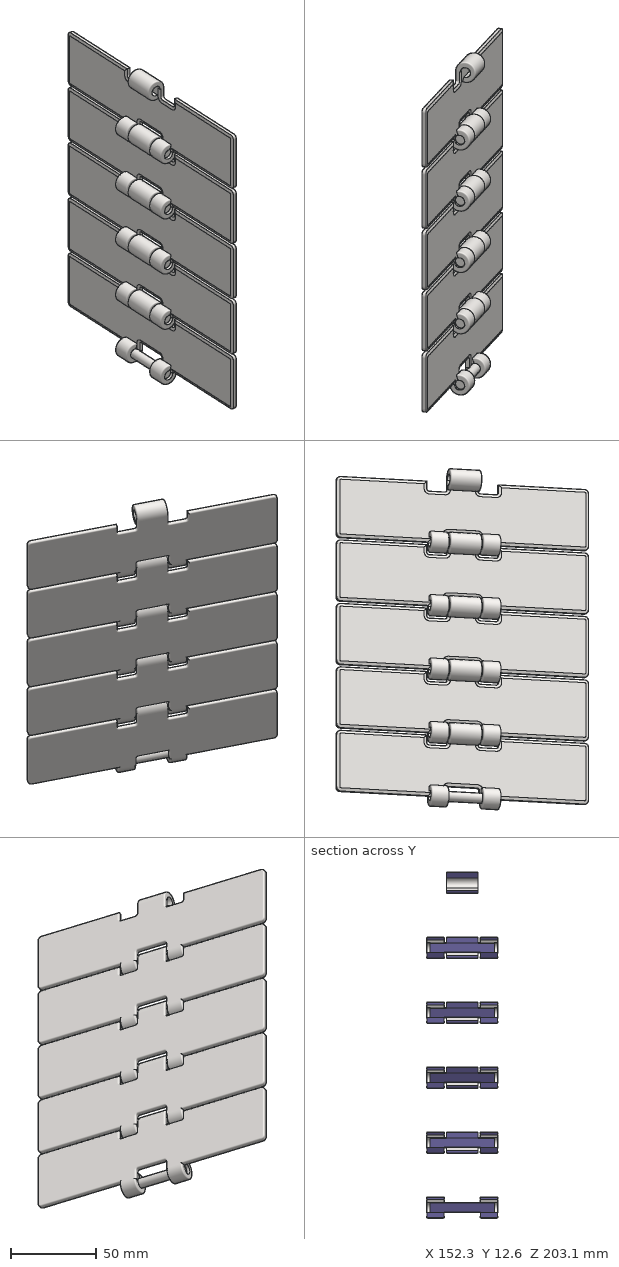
import cadquery as cq
import math

plate_width = 152.3
chain_height = 203.1
link_count = 5
knuckle_radius = 6.3
pin_diameter = 6.0
curl_sweep = 288.0

middle_knuckle_width = 18.7
slot_width = 20.3
outer_knuckle_gap = 21.0
outer_knuckle_span = 41.8
notch_span = 43.3
pin_length = 38.0

top_edge_drop = 0.91
bottom_edge_rise = 0.67
cutout_depth = 7.0

corner_radius = 2.5
cutout_corner_radius = 1.5
front_bevel_width = 1.8
front_bevel_depth = 0.6
back_edge_radius = 0.8

pitch = (chain_height - 2 * knuckle_radius) / link_count
bore_radius = pin_diameter / 2
sheet_thickness = knuckle_radius - bore_radius
outer_knuckle_width = (outer_knuckle_span - outer_knuckle_gap) / 2
outer_knuckle_offset = (outer_knuckle_span + outer_knuckle_gap) / 4
sheet_back = knuckle_radius
sheet_front = bore_radius
tab_overrun = 2 * front_bevel_width

match_distance = 0.02


def round_corners(sheet, corners, radius):
    """Round the edges along Y that stand at the given (X, Z) corners and at their mirror images."""

    def at_corner(edge):
        spot = edge.Center()
        return any(math.hypot(abs(spot.x) - x, spot.z - z) < match_distance for x, z in corners)

    return sheet.edges("|Y").filter(at_corner).fillet(radius)


def flat_sheet():
    """Bevelled sheet with its hinge tabs, cut off level at the two pin axes."""
    half_plate = plate_width / 2
    half_slot = slot_width / 2
    half_outer = outer_knuckle_span / 2
    half_notch = notch_span / 2
    half_middle = middle_knuckle_width / 2
    top_edge = pitch - top_edge_drop
    notch_floor = pitch - cutout_depth
    tab_bottom = -tab_overrun
    tab_top = pitch + tab_overrun

    right_side = [
        (half_slot, cutout_depth),
        (half_slot, tab_bottom),
        (half_outer, tab_bottom),
        (half_outer, bottom_edge_rise),
        (half_plate, bottom_edge_rise),
        (half_plate, top_edge),
        (half_notch, top_edge),
        (half_notch, notch_floor),
        (half_middle, notch_floor),
        (half_middle, tab_top),
    ]
    left_side = [(-x, z) for x, z in reversed(right_side)]
    blank = (
        cq.Workplane("XZ", origin=(0, sheet_back, 0))
        .polyline(right_side + left_side)
        .close()
        .extrude(sheet_thickness)
    )

    plate_corners = [(half_plate, bottom_edge_rise), (half_plate, top_edge)]
    cutout_corners = [(half_slot, cutout_depth), (half_notch, notch_floor), (half_middle, notch_floor)]
    sheet = round_corners(blank, plate_corners, corner_radius)
    sheet = round_corners(sheet, cutout_corners, cutout_corner_radius)
    sheet = sheet.faces("<Y").edges().chamfer(front_bevel_depth, front_bevel_width)
    sheet = sheet.faces(">Y").edges().fillet(back_edge_radius)
    between_axes = (
        cq.Workplane("XY")
        .box(plate_width, sheet_thickness, pitch, centered=(True, False, False))
        .translate((0, sheet_front, 0))
    )
    return sheet.intersect(between_axes)


def curl(width, x_center):
    """Knuckle around the X axis, rolled from the sheet over the top and down past the bottom."""

    def at(radius, degrees):
        angle = math.radians(degrees)
        return (radius * math.cos(angle), radius * math.sin(angle))

    half_sweep = curl_sweep / 2
    knuckle = (
        cq.Workplane("YZ", origin=(x_center - width / 2, 0, 0))
        .moveTo(*at(knuckle_radius, 0))
        .threePointArc(at(knuckle_radius, half_sweep), at(knuckle_radius, curl_sweep))
        .lineTo(*at(bore_radius, curl_sweep))
        .threePointArc(at(bore_radius, half_sweep), at(bore_radius, 0))
        .close()
        .extrude(width)
    )
    rim = cq.selectors.RadiusNthSelector(-1)
    return knuckle.edges(rim).fillet(back_edge_radius)


def make_link():
    """Chain plate with its bottom pin axis at Z = 0 and its top pin axis one pitch above."""
    middle = curl(middle_knuckle_width, 0).translate((0, 0, pitch))
    link = flat_sheet().union(middle)
    for side in (-1, 1):
        outer = curl(outer_knuckle_width, side * outer_knuckle_offset)
        link = link.union(outer.mirror("XY"))
    return link


def make_pin():
    """Hinge pin, sunk a little below the ends of the outer knuckles."""
    return cq.Workplane("YZ", origin=(-pin_length / 2, 0, 0)).circle(bore_radius).extrude(pin_length)


first_axis = knuckle_radius - chain_height / 2
link = make_link()
pin = make_pin()
bodies = []
for index in range(link_count):
    axis_height = first_axis + index * pitch
    bodies.append(link.translate((0, 0, axis_height)).val())
    bodies.append(pin.translate((0, 0, axis_height)).val())

result = cq.Compound.makeCompound(bodies)